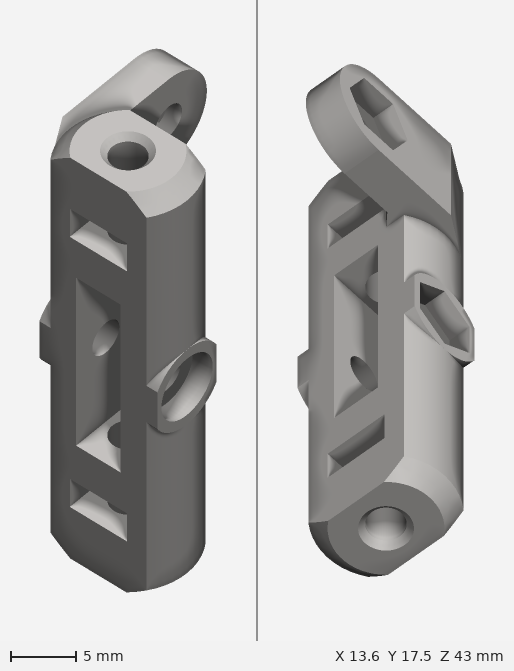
import cadquery as cq
import math

length = 43.0
body_width = 12.0
body_radius = body_width / 2
body_thickness = 6.95
end_chamfer = 1.5
mid_height = length / 2

bore_diameter = 3.2
countersink = 0.55
seat_depth = 2.0
boss_nut_across_corners = 6.62
screw_head_diameter = 6.0
lug_nut_across_corners = 6.75

boss_diameter = 8.0

window_width = 4.5
window_height = 18.0
slot_width = 5.8
slot_height = 3.0
slot_offset = 14.5

lug_thickness = 3.5
lug_overhang = 1.6
lug_end_radius = 4.5
lug_top_gap = 1.98
lug_hole_y = 9.5
lug_bend_y = 1.08
lug_root_y = -2.75
web_start_y = 4.5
web_inner_x = -3.0
lug_outer_x = -body_radius - lug_overhang
lug_inner_x = lug_outer_x + lug_thickness
lug_height = 2 * lug_end_radius
lug_center_z = length - lug_top_gap - lug_end_radius


def cylinder_along_x(diameter, x_start, x_length, y, z):
    return cq.Workplane("YZ", origin=(x_start, y, z)).circle(diameter / 2).extrude(x_length)


def nut_pocket(across_corners, x_start, depth, y, z, turn):
    """Hexagonal prism running in +X; at zero turn two corners point along Y."""
    plane = cq.Workplane("YZ", origin=(x_start, y, z)).transformed(rotate=(0, 0, turn))
    return plane.polygon(6, across_corners).extrude(depth)


def make_body():
    bar = cq.Workplane("XY").circle(body_radius).extrude(length)
    bar = bar.faces("<Z or >Z").chamfer(end_chamfer)
    boss = cylinder_along_x(boss_diameter, -body_radius, body_width, 0, mid_height)
    flats = cq.Workplane("XY").box(
        body_width, body_thickness, length, centered=(True, True, False)
    )
    return bar.union(boss).intersect(flats)


def make_lug():
    root_x = -math.sqrt(body_radius**2 - lug_root_y**2)
    web_end_y = web_start_y - (web_inner_x - lug_inner_x)
    profile = [
        (lug_outer_x, lug_hole_y),
        (lug_outer_x, lug_bend_y),
        (root_x, lug_root_y),
        (web_inner_x, lug_root_y),
        (web_inner_x, web_end_y),
        (lug_inner_x, web_start_y),
        (lug_inner_x, lug_hole_y),
    ]
    bottom_z = lug_center_z - lug_end_radius
    lug = cq.Workplane("XY", origin=(0, 0, bottom_z)).polyline(profile).close().extrude(lug_height)
    tip = cylinder_along_x(lug_height, lug_outer_x, lug_thickness, lug_hole_y, lug_center_z)
    return lug.union(tip)


def through_opening(width, height, z):
    return cq.Workplane("XY").box(width, body_thickness, height).translate((0, 0, z))


def make_axial_bore():
    radius = bore_diameter / 2
    rim = radius + countersink
    profile = [
        (0, 0),
        (rim, 0),
        (radius, countersink),
        (radius, length - countersink),
        (rim, length),
        (0, length),
    ]
    return cq.Workplane("XZ").polyline(profile).close().revolve(360, (0, 0), (0, 1))


result = make_body().union(make_lug())

result = result.cut(through_opening(window_width, window_height, mid_height))
for side in (-1, 1):
    result = result.cut(through_opening(slot_width, slot_height, mid_height + side * slot_offset))

result = result.cut(make_axial_bore())

result = result.cut(cylinder_along_x(bore_diameter, -body_radius, body_width, 0, mid_height))
result = result.cut(nut_pocket(boss_nut_across_corners, -body_radius, seat_depth, 0, mid_height, 90))
result = result.cut(
    cylinder_along_x(screw_head_diameter, body_radius - seat_depth, seat_depth, 0, mid_height)
)

result = result.cut(cylinder_along_x(bore_diameter, lug_outer_x, lug_thickness, lug_hole_y, lug_center_z))
result = result.cut(
    nut_pocket(lug_nut_across_corners, lug_outer_x, seat_depth, lug_hole_y, lug_center_z, 0)
)